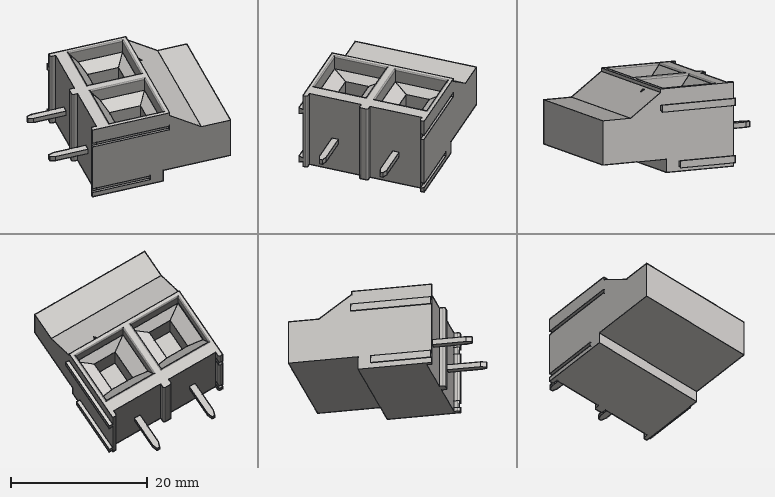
import cadquery as cq
import math


pole_count = 2
body_width = 19.0
pitch = body_width / pole_count
height = 12.5
length = 21.5
overall_length = 26.5
shoulder_y = 12.0
shoulder_z = 12.0
back_top_y = 16.93
back_top_z = 8.59
undercut_y = 11.02
undercut_z = 2.0

recess_width = 8.1
recess_depth = 0.85
foot_radius = 0.3

pocket_width = recess_width
pocket_front = 2.85
pocket_back = 11.24
rim_radius = 0.19
ramp_top_z = height - 0.2
funnel_top_z = 10.34
funnel_bottom_z = 9.51
hole_width = 3.6
hole_front = 4.98
hole_back = 9.8

pin_width = 1.0
pin_thickness = 0.8
pin_bottom_z = 4.72
pin_length = overall_length - length
pin_taper = 0.8
pin_tip_width = 0.48

rail_depth = 0.6
rail_neck = 0.7
rail_outer = 1.09
rails = [(9.7, shoulder_y), (1.17, 9.0)]

mark_width = 0.45
mark_height = 0.55
mark_gap = 0.45
mark_depth = 0.05

pole_centres = [(i - (pole_count - 1) / 2) * pitch for i in range(pole_count)]


def box(x_centre, width, y_range, z_range):
    """Box centred on x_centre that spans the given Y and Z ranges."""
    y0, y1 = y_range
    z0, z1 = z_range
    block = cq.Workplane("XY").box(width, y1 - y0, z1 - z0, centered=(True, False, False))
    return block.translate((x_centre, y0, z0))


def extrude_along_x(points, width):
    """Extrude a (y, z) outline symmetrically about x = 0."""
    return cq.Workplane("YZ").polyline(points).close().extrude(width / 2, both=True)


def make_housing():
    """Stepped housing with rounded feet along its front face."""
    side = [
        (0, 0),
        (undercut_y, 0),
        (undercut_y, undercut_z),
        (length, undercut_z),
        (length, back_top_z),
        (back_top_y, back_top_z),
        (shoulder_y, shoulder_z),
        (shoulder_y, height),
        (0, height),
    ]
    body = extrude_along_x(side, body_width)
    for x in pole_centres:
        body = body.cut(box(x, recess_width, (0, recess_depth), (0, height)))
    foot_edges = body.faces("<Y").edges("|Z").filter(
        lambda edge: abs(edge.Center().x) < body_width / 2 - foot_radius
    )
    return foot_edges.fillet(foot_radius)


def make_pocket():
    """Funnel with slopes on three sides, a steep front ramp and a hole down to the pin."""
    side = [
        (hole_front, funnel_bottom_z),
        (hole_back, funnel_bottom_z),
        (pocket_back, funnel_top_z),
        (pocket_back, height),
        (pocket_front, height),
        (pocket_front, ramp_top_z),
    ]
    half_hole = hole_width / 2
    half_pocket = pocket_width / 2
    front = [
        (-half_hole, funnel_bottom_z),
        (half_hole, funnel_bottom_z),
        (half_pocket, funnel_top_z),
        (half_pocket, height),
        (-half_pocket, height),
        (-half_pocket, funnel_top_z),
    ]
    across = cq.Workplane("XZ").polyline(front).close().extrude(-shoulder_y)
    funnel = extrude_along_x(side, pocket_width).intersect(across)
    hole_floor_z = pin_bottom_z + pin_thickness
    hole = box(0, hole_width, (hole_front, hole_back), (hole_floor_z, funnel_bottom_z))
    return funnel.union(hole)


def add_pockets(body):
    """Cut one pocket per pole and round its rim."""
    pocket = make_pocket()
    for x in pole_centres:
        body = body.cut(pocket.translate((x, 0, 0)))
    rim_edges = body.faces(">Z").edges(
        cq.selectors.BoxSelector(
            (-body_width / 2 + rim_radius, pocket_front - rim_radius, height - rim_radius),
            (body_width / 2 - rim_radius, pocket_back + rim_radius, height + rim_radius),
        )
    )
    return rim_edges.fillet(rim_radius)


def make_pin(x):
    """Flat pin with a tapered tip, rooted in the recess floor."""
    half = pin_width / 2
    half_tip = pin_tip_width / 2
    outline = [
        (x - half, recess_depth),
        (x - half, pin_taper - pin_length),
        (x - half_tip, -pin_length),
        (x + half_tip, -pin_length),
        (x + half, pin_taper - pin_length),
        (x + half, recess_depth),
    ]
    pin = cq.Workplane("XY").workplane(offset=pin_bottom_z)
    return pin.polyline(outline).close().extrude(pin_thickness)


def make_dovetail(root_x, z, rail_length):
    """Dovetail bar that widens towards -X, starting at y = 0."""
    outline = [
        (root_x, z - rail_neck / 2),
        (root_x, z + rail_neck / 2),
        (root_x - rail_depth, z + rail_outer / 2),
        (root_x - rail_depth, z - rail_outer / 2),
    ]
    return cq.Workplane("XZ").polyline(outline).close().extrude(-rail_length)


def make_mark():
    """Triangular prism sunk square to the slope, its point towards the back."""
    run = back_top_y - shoulder_y
    drop = shoulder_z - back_top_z
    slope = math.hypot(run, drop)
    plane = cq.Plane(
        origin=(pole_centres[0], shoulder_y, shoulder_z),
        xDir=(1, 0, 0),
        normal=(0, drop / slope, run / slope),
    )
    outline = [
        (-mark_width / 2, mark_gap),
        (mark_width / 2, mark_gap),
        (0, mark_gap + mark_height),
    ]
    return cq.Workplane(plane).polyline(outline).close().extrude(-mark_depth)


result = add_pockets(make_housing())

for x in pole_centres:
    result = result.union(make_pin(x))

for z, rail_length in rails:
    result = result.union(make_dovetail(-body_width / 2, z, rail_length))
    result = result.cut(make_dovetail(body_width / 2, z, rail_length))

result = result.cut(make_mark())